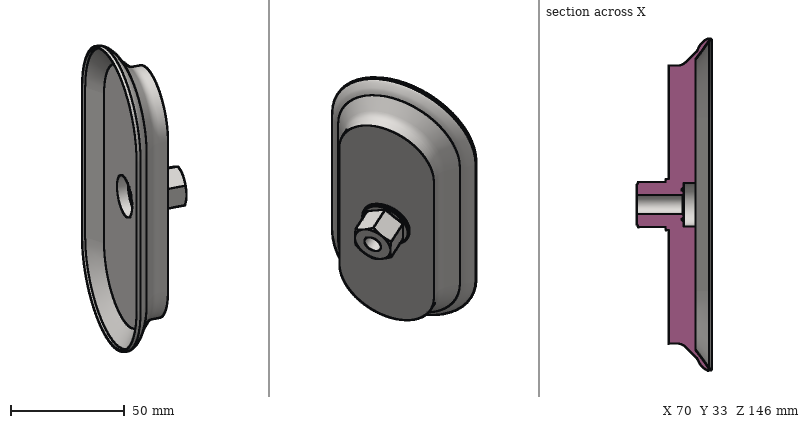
import cadquery as cq
import math

length = 146.0
width = 70.0
depth = 33.0
straight_length = length - width

lip_height = 2.5
lip_round = 0.7
lip_band_top = 1.6
flare_height = 6.4
flank_height = 11.5
neck_height = 15.2
body_height = 19.0

lip_half = width / 2
flare_start_half = 34.6
body_half = 23.0
neck_radius = (neck_height - flank_height) / math.sin(math.pi / 4)
flank_top_half = body_half + neck_radius * (1 - math.cos(math.pi / 4))
flank_bottom_half = flank_top_half + flank_height - flare_height
flare_mid_half = 32.4
flare_mid_height = 5.0

floor_depth = 7.2
floor_half = 25.7
mouth_half = 34.2
mouth_band_half = 33.7
mouth_band_depth = 1.3

collar_diameter = 22.6
collar_top_diameter = 22.0
collar_height = 1.5
collar_chamfer = (collar_diameter - collar_top_diameter) / 2
hex_across_flats = 17.4
hex_across_corners = hex_across_flats / math.cos(math.pi / 6)
hex_chamfer_drop = 0.7

bore_diameter = 8.0
bore_rim_diameter = 9.0
recess_diameter = 19.0
recess_depth = 5.1
groove_outer_diameter = 15.2
groove_bottom_diameter = 13.1
groove_inner_diameter = 11.4
groove_depth = 1.0


def stadium_solid(profile):
    """Make a stadium-shaped solid from a (half width, Y) profile that is closed on the axis."""
    outline = profile.val()
    turned = cq.Workplane("XY").add(outline).toPending().revolve(360, (0, 0, 0), (0, 1, 0))
    middle = cq.Workplane("XY").add(outline).toPending().extrude(straight_length / 2, both=True)
    middle = middle.union(middle.mirror("YZ"))
    for side in (-1, 1):
        middle = middle.union(turned.translate((0, 0, side * straight_length / 2)))
    return middle


def turned_solid(points):
    """Turn (radius, Y) points about the Y axis."""
    return cq.Workplane("XY").polyline(points).close().revolve(360, (0, 0, 0), (0, 1, 0))


def pad_body():
    middle_angle = math.pi / 8
    neck_middle = (
        body_half + neck_radius * (1 - math.cos(middle_angle)),
        neck_height - neck_radius * math.sin(middle_angle),
    )
    profile = (
        cq.Workplane("XY")
        .lineTo(lip_half - lip_round, 0)
        .radiusArc((lip_half, lip_round), -lip_round)
        .lineTo(lip_half, lip_band_top)
        .lineTo(flare_start_half, lip_height)
        .threePointArc((flare_mid_half, flare_mid_height), (flank_bottom_half, flare_height))
        .lineTo(flank_top_half, flank_height)
        .threePointArc(neck_middle, (body_half, neck_height))
        .lineTo(body_half, body_height)
        .lineTo(0, body_height)
        .close()
    )
    return stadium_solid(profile)


def pad_cavity():
    points = [
        (0, 0),
        (mouth_half, 0),
        (mouth_band_half, mouth_band_depth),
        (floor_half, floor_depth),
        (0, floor_depth),
    ]
    return stadium_solid(cq.Workplane("XY").polyline(points).close())


def fitting():
    collar_top = body_height + collar_height
    collar = turned_solid([
        (0, body_height),
        (collar_diameter / 2, body_height),
        (collar_diameter / 2, collar_top - collar_chamfer),
        (collar_top_diameter / 2, collar_top),
        (0, collar_top),
    ])
    nut = (
        cq.Workplane("XZ", origin=(0, depth, 0))
        .transformed(rotate=(0, 0, 90))
        .polygon(6, hex_across_corners)
        .extrude(depth - body_height)
    )
    nut_envelope = turned_solid([
        (0, body_height),
        (hex_across_corners / 2, body_height),
        (hex_across_corners / 2, depth - hex_chamfer_drop),
        (hex_across_flats / 2, depth),
        (0, depth),
    ])
    return collar.union(nut.intersect(nut_envelope))


def bore():
    recess_floor = floor_depth + recess_depth
    rim_chamfer = (bore_rim_diameter - bore_diameter) / 2
    return turned_solid([
        (0, 0),
        (recess_diameter / 2, 0),
        (recess_diameter / 2, recess_floor),
        (groove_outer_diameter / 2, recess_floor),
        (groove_bottom_diameter / 2, recess_floor + groove_depth),
        (groove_inner_diameter / 2, recess_floor),
        (bore_rim_diameter / 2, recess_floor),
        (bore_diameter / 2, recess_floor + rim_chamfer),
        (bore_diameter / 2, depth),
        (0, depth),
    ])


result = pad_body().cut(pad_cavity()).union(fitting()).cut(bore())